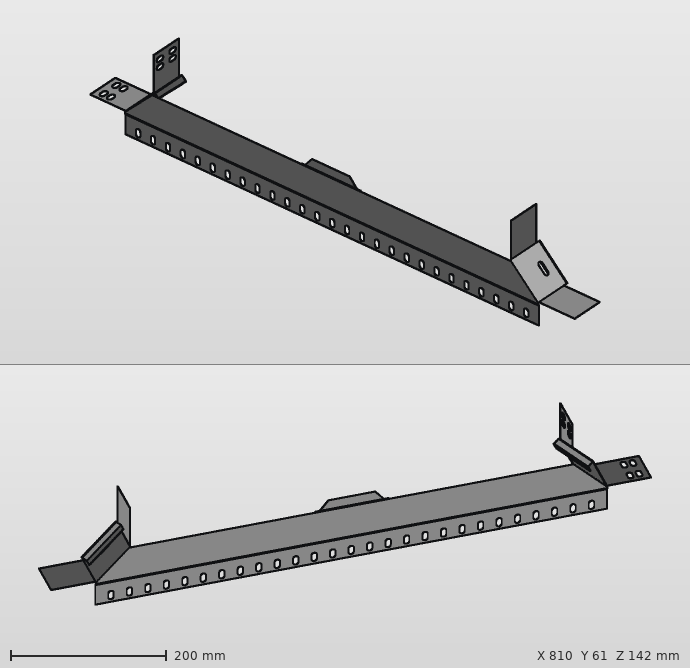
import cadquery as cq
import math

length = 810.0
height = 142.0
depth = 61.0
sheet = 1.0

joggle_offset = 1.3
joggle_height = 2.5

flange_length = 691.0
slope_rise = 46.0
end_tab_length = (length - flange_length) / 2
slope_bottom = height - end_tab_length - slope_rise
slope_top = slope_bottom + slope_rise
web_top_inset = 2.0
web_top = slope_top - web_top_inset
foot_x = flange_length / 2
head_x = foot_x - slope_rise
flange_joggle_top = 33.0

slot_width = 7.0
slot_length = 13.0
flange_slot_count = 27
flange_slot_end = 21.0
flange_slot_pitch = (flange_length - 2 * flange_slot_end) / (flange_slot_count - 1)
flange_slot_z = 10.5

tab_base_width = 99.0
tab_shoulder_width = 87.0
tab_top_width = 63.0
tab_top = 97.0

channel_back = depth - joggle_offset
channel_wall_depth = 10.5
channel_lip_width = 10.5
channel_slot_length = 20.0
channel_slot_from_back = 20.0

end_tab_front = 2.5
end_tab_width = 50.0
end_slot_edge = 12.0
end_slot_row_pitch = 12.0
end_slot_column_pitch = 25.0


def block(x_range, y_range, z_range):
    """Box spanning the given (low, high) ranges."""
    lows, highs = zip(x_range, y_range, z_range)
    sizes = [high - low for low, high in zip(lows, highs)]
    return cq.Workplane("XY").box(*sizes, centered=False).translate(lows)


def joggle(width, y_front, z_top):
    """Slanted strip from an upper sheet back to a lower one behind it."""
    section = [
        (y_front, z_top),
        (y_front + sheet, z_top),
        (y_front + joggle_offset + sheet, z_top - joggle_height),
        (y_front + joggle_offset, z_top - joggle_height),
    ]
    return cq.Workplane("YZ").polyline(section).close().extrude(width / 2, both=True)


def front_sheet(outline, y_front):
    """Upright sheet with the given X-Z outline and front face at y_front."""
    return cq.Workplane("XZ", origin=(0, y_front, 0)).polyline(outline).close().extrude(-sheet)


def make_web():
    top_x = head_x + web_top_inset
    outline = [
        (-foot_x, flange_joggle_top),
        (foot_x, flange_joggle_top),
        (foot_x, slope_bottom),
        (top_x, web_top),
        (-top_x, web_top),
        (-foot_x, slope_bottom),
    ]
    return front_sheet(outline, 0)


def make_flange():
    sheet_top = flange_joggle_top - joggle_height
    y_range = (joggle_offset, joggle_offset + sheet)
    flange = block((-foot_x, foot_x), y_range, (0, sheet_top))
    flange = flange.union(joggle(flange_length, 0, flange_joggle_top))
    slots = (
        cq.Workplane("XZ", origin=(0, 0, flange_slot_z))
        .rarray(flange_slot_pitch, 8, flange_slot_count, 1)
        .slot2D(slot_length, slot_width, 90)
        .extrude(-depth)
    )
    return flange.cut(slots)


def make_middle_tab():
    shoulder_z = web_top + joggle_height
    outline = [
        (-tab_shoulder_width / 2, shoulder_z),
        (tab_shoulder_width / 2, shoulder_z),
        (tab_top_width / 2, tab_top),
        (-tab_top_width / 2, tab_top),
    ]
    step = joggle(tab_base_width, -joggle_offset, shoulder_z)
    return front_sheet(outline, -joggle_offset).union(step)


def make_channel():
    """C-shaped strip lying along the 45 degree end at -X."""
    foot = (-foot_x, 0, slope_bottom)
    plane = cq.Plane(origin=foot, xDir=(0, 1, 0), normal=(1, 0, 1))
    slope_length = slope_rise * math.sqrt(2)
    inner_back = channel_back - sheet
    lip_edge = channel_back - channel_lip_width
    section = [
        (0, 0),
        (channel_back, 0),
        (channel_back, -channel_wall_depth),
        (lip_edge, -channel_wall_depth),
        (lip_edge, sheet - channel_wall_depth),
        (inner_back, sheet - channel_wall_depth),
        (inner_back, -sheet),
        (0, -sheet),
    ]
    channel = cq.Workplane(plane).polyline(section).close().extrude(slope_length)

    slot_centre = (
        -(foot_x + head_x) / 2,
        channel_back - channel_slot_from_back,
        (slope_bottom + slope_top) / 2,
    )
    slot_plane = cq.Plane(origin=slot_centre, xDir=(1, 0, 1), normal=(-1, 0, 1))
    slot = cq.Workplane(slot_plane).slot2D(channel_slot_length, slot_width)
    return channel.cut(slot.extrude(2 * sheet, both=True))


def make_end_tabs():
    """Level tab at the foot and upright tab at the head of the -X channel."""
    overlap = sheet / math.sqrt(2)
    y_range = (end_tab_front, end_tab_front + end_tab_width)
    level = block(
        (-length / 2, overlap - foot_x), y_range, (slope_bottom - sheet, slope_bottom)
    )
    upright = block((-head_x, sheet - head_x), y_range, (slope_top - overlap, height))
    return level.union(upright)


def make_end_tab_slots():
    """Four-slot groups through both tabs of the -X end."""
    middle_y = end_tab_front + end_tab_width / 2
    group_inset = end_slot_edge + end_slot_row_pitch / 2
    level_slots = (
        cq.Workplane("XY", origin=(group_inset - length / 2, middle_y, slope_bottom))
        .rarray(end_slot_row_pitch, end_slot_column_pitch, 2, 2)
        .slot2D(slot_length, slot_width, 90)
        .extrude(2 * sheet, both=True)
    )
    upright_slots = (
        cq.Workplane("YZ", origin=(-head_x, middle_y, height - group_inset))
        .rarray(end_slot_column_pitch, end_slot_row_pitch, 2, 2)
        .slot2D(slot_length, slot_width)
        .extrude(2 * sheet, both=True)
    )
    return level_slots.union(upright_slots)


end_assembly = make_channel().union(make_end_tabs())

result = (
    make_web()
    .union(make_flange())
    .union(make_middle_tab())
    .union(end_assembly.cut(make_end_tab_slots()))
    .union(end_assembly.mirror("YZ"))
)